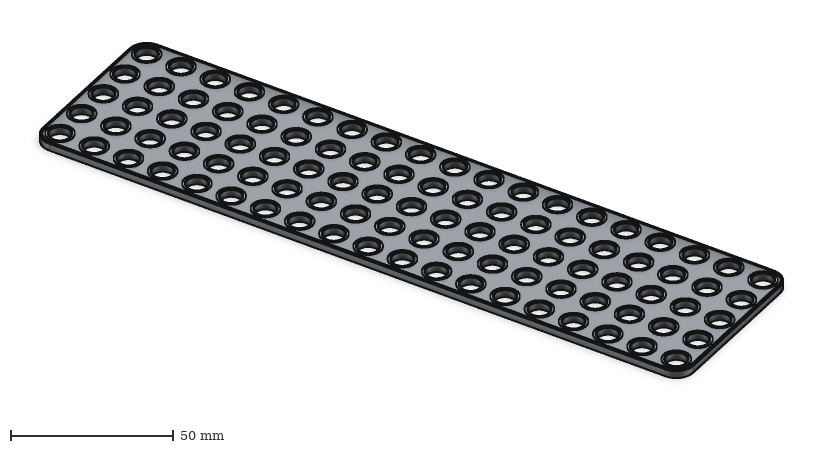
import cadquery as cq

pitch = 12.5
columns = 19
rows = 5
length = columns * pitch
width = rows * pitch
thickness = pitch / 4
corner_radius = pitch / 2
top_z = thickness / 2

hole_diameter = 7.0
edge_chamfer = 0.3

ring_diameter = 9.2
band_width = 0.8
recess_depth = 0.2


def make_slab(inset, height):
    """Rounded rectangular slab centred on the origin, inset from the plate outline."""
    slab = cq.Workplane("XY").box(length - 2 * inset, width - 2 * inset, height)
    return slab.edges("|Z").fillet(corner_radius - inset)


def at_every_hole(shape):
    """Copies of a shape placed at the centre of every grid cell."""
    grid = cq.Workplane("XY").rarray(pitch, pitch, columns, rows)
    return grid.eachpoint(lambda location: shape.moved(location))


def make_plate():
    """Solid plate with its top and bottom outlines chamfered."""
    return make_slab(0, thickness).faces("<Z or >Z").chamfer(edge_chamfer)


def make_top_recess():
    """Shallow recess in the top face that spares the outline band and the hole rings."""
    ring = cq.Workplane("XY").circle(ring_diameter / 2).extrude(recess_depth, both=True)
    recess = make_slab(band_width, recess_depth).cut(at_every_hole(ring.val()))
    return recess.translate((0, 0, top_z - recess_depth / 2))


def make_hole_cutter():
    """Through-hole cutter about Z, chamfered where it meets both faces."""
    bore_radius = hole_diameter / 2
    mouth_radius = bore_radius + edge_chamfer
    bore_end_z = top_z - edge_chamfer
    half_profile = [
        (0, -top_z),
        (mouth_radius, -top_z),
        (bore_radius, -bore_end_z),
        (bore_radius, bore_end_z),
        (mouth_radius, top_z),
        (0, top_z),
    ]
    profile = cq.Workplane("XZ").polyline(half_profile).close()
    return profile.revolve(360, (0, 0, 0), (0, 1, 0)).val()


plate = make_plate().cut(make_top_recess())
result = plate.cut(at_every_hole(make_hole_cutter()))